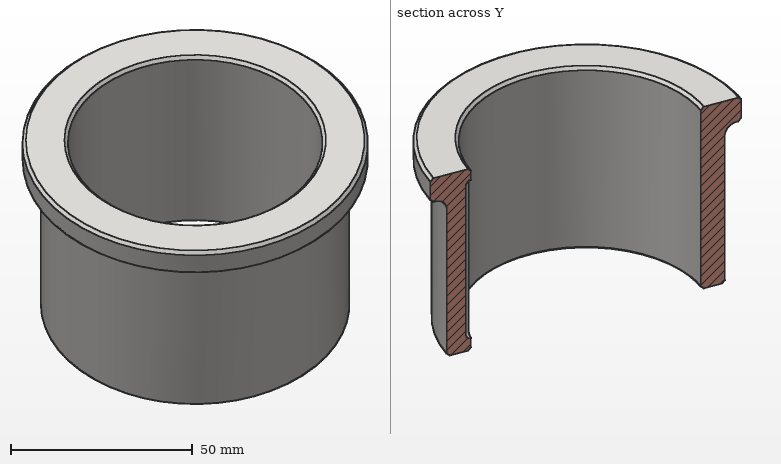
import cadquery as cq

flange_diameter = 95.0
sleeve_diameter = 85.0
bore_diameter = 70.0
height = 60.0
flange_thickness = 8.0
edge_chamfer = 0.95
neck_fillet = 3.5

groove_diameter = 3.0
groove_end_margin = 4.0

flange_radius = flange_diameter / 2
sleeve_radius = sleeve_diameter / 2
bore_radius = bore_diameter / 2
flange_bottom = height - flange_thickness


def make_body():
    """Revolve half of the bushing's cross-section, drawn as (radius, z)."""
    fillet_center = (sleeve_radius + neck_fillet, flange_bottom - neck_fillet)
    diagonal = neck_fillet * 0.5**0.5
    fillet_middle = (fillet_center[0] - diagonal, fillet_center[1] + diagonal)
    profile = (
        cq.Workplane("XZ")
        .moveTo(bore_radius, edge_chamfer)
        .lineTo(bore_radius + edge_chamfer, 0)
        .lineTo(sleeve_radius - edge_chamfer, 0)
        .lineTo(sleeve_radius, edge_chamfer)
        .lineTo(sleeve_radius, fillet_center[1])
        .threePointArc(fillet_middle, (fillet_center[0], flange_bottom))
        .lineTo(flange_radius - edge_chamfer, flange_bottom)
        .lineTo(flange_radius, flange_bottom + edge_chamfer)
        .lineTo(flange_radius, height - edge_chamfer)
        .lineTo(flange_radius - edge_chamfer, height)
        .lineTo(bore_radius + edge_chamfer, height)
        .lineTo(bore_radius, height - edge_chamfer)
        .close()
    )
    return profile.revolve(360, (0, 0, 0), (0, 1, 0))


def make_groove():
    """Ball-ended bar centred on the bore wall; its outer half cuts into the wall."""
    groove_radius = groove_diameter / 2
    bottom_ball_z = groove_end_margin + groove_radius
    top_ball_z = height - bottom_ball_z
    groove = (
        cq.Workplane("XY", origin=(bore_radius, 0, bottom_ball_z))
        .circle(groove_radius)
        .extrude(top_ball_z - bottom_ball_z)
    )
    for ball_z in (bottom_ball_z, top_ball_z):
        ball = cq.Workplane("XY", origin=(bore_radius, 0, ball_z)).sphere(groove_radius)
        groove = groove.union(ball)
    return groove


result = make_body().cut(make_groove())